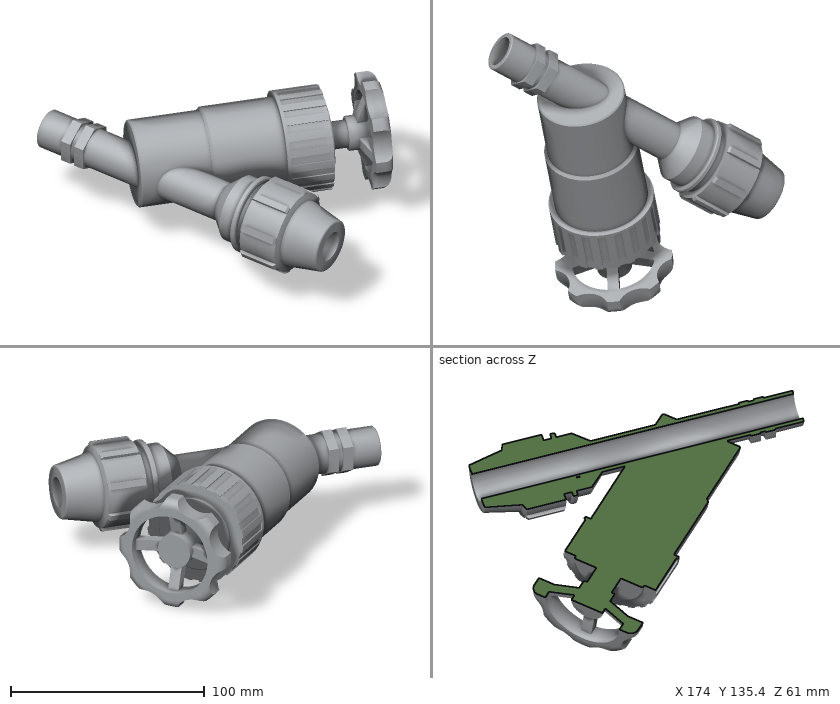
import cadquery as cq
import math

length = 174.0
pipe_dia = 20.9
bore_dia = 16.0
pipe_chamfer = 0.44
hex_flats = 22.3
hex_thickness = 5.4
hex_starts = (15.7, 23.7)

cone_start = 109.1
cone_end = 117.1
collar_dia = 36.0
flange_start = 125.3
flange_width = 2.8
flange_dia = 41.8
flange_chamfer = 0.5
nut_start = 132.0
nut_end = 154.9
nut_dia = 43.5
nut_chamfer = 1.4
nut_rib_count = 8
nut_rib_width = 3.5
nut_rib_radius = 23.5
nut_rib_chamfer = 1.0
nose_start_dia = 36.5
nose_end_dia = 28.2
nose_fillet = 1.0

branch_x = 52.2
branch_angle = 45.0
base_dia = 45.8
base_chamfer = 0.7
barrel_start = 37.4
barrel_dia = 48.9
barrel_chamfer = 1.4
cap_start = 76.5
cap_rim = 1.7
cap_end = 101.3
cap_dia = 55.0
cap_groove_count = 20
cap_groove_width = 4.4
cap_groove_depth = 0.9
plate_dia = 40.2
plate_top = 103.0
plate_chamfer = 0.5
stem_dia = 14.6

hub_dia = 18.3
hub_start = 113.0
hub_top = 127.0
hub_chamfer = 0.5
wheel_start = 122.3
wheel_top = 132.0
wheel_dia = 61.0
wheel_opening_dia = 43.2
wheel_fillet = 4.5
lobe_count = 8
scallop_dia = 23.3
scallop_center_radius = 37.2
spoke_count = 4
spoke_width = 6.0
spoke_overlap = 0.9
spoke_hub_start = 118.1
spoke_height = 5.5


def cylinder(diameter, start, end):
    return cq.Workplane("XY").workplane(offset=start).circle(diameter / 2).extrude(end - start)


def turned_around(solid, count, first_angle=0.0):
    """Copies of a solid evenly spaced about the Z axis."""
    copies = cq.Workplane("XY")
    for i in range(count):
        copies = copies.add(solid.rotate((0, 0, 0), (0, 0, 1), first_angle + i * 360 / count))
    return copies.combine()


def make_pipe():
    pipe = cq.Workplane("YZ").circle(pipe_dia / 2).extrude(cone_end).faces("<X").chamfer(pipe_chamfer)
    hex_corners = hex_flats / math.cos(math.pi / 6)
    for start in hex_starts:
        hexagon = cq.Workplane("YZ", origin=(start, 0, 0)).transformed(rotate=(0, 0, 90))
        pipe = pipe.union(hexagon.polygon(6, hex_corners).extrude(hex_thickness))
    return pipe


def make_union_fitting():
    collar_r = collar_dia / 2
    nut_r = nut_dia / 2
    nose_r = nose_start_dia / 2
    outline = [
        (cone_start, 0),
        (cone_start, pipe_dia / 2),
        (cone_end, collar_r),
        (nut_start, collar_r),
        (nut_start, nut_r),
        (nut_end - nut_chamfer, nut_r),
        (nut_end, nose_r),
        (length, nose_end_dia / 2),
        (length, 0),
    ]
    fitting = cq.Workplane("XY").polyline(outline).close().revolve(360, (0, 0, 0), (1, 0, 0))
    fitting = fitting.faces(">X").edges().fillet(nose_fillet)
    flange = cq.Workplane("YZ", origin=(flange_start, 0, 0)).circle(flange_dia / 2).extrude(flange_width)
    fitting = fitting.union(flange.faces("<X or >X").chamfer(flange_chamfer))

    rib_length = nut_end - nut_chamfer - nut_start
    rib_height = nut_rib_radius - collar_r
    rib = cq.Workplane("XY").box(rib_length, nut_rib_width, rib_height, centered=(False, True, False))
    rib = rib.faces(">Z").edges("<X or >X").chamfer(nut_rib_chamfer)
    rib = rib.translate((nut_start, 0, collar_r))
    for i in range(nut_rib_count):
        fitting = fitting.union(rib.rotate((0, 0, 0), (1, 0, 0), (i + 0.5) * 360 / nut_rib_count))
    return fitting


def make_cap():
    cap_r = cap_dia / 2
    cap = cylinder(cap_dia, cap_start, cap_end)
    groove_start = cap_start + cap_rim
    groove = cq.Workplane("XY", origin=(cap_r, 0, groove_start))
    groove = groove.rect(2 * cap_groove_depth, cap_groove_width).extrude(cap_end - groove_start)
    return cap.cut(turned_around(groove, cap_groove_count))


def make_body():
    base = cylinder(base_dia, 0, cap_start).faces("<Z").chamfer(base_chamfer)
    barrel = cylinder(barrel_dia, barrel_start, cap_start)
    barrel = barrel.faces("<Z").chamfer(barrel_chamfer)
    plate = cylinder(plate_dia, cap_end, plate_top).faces(">Z").chamfer(plate_chamfer)
    stem = cylinder(stem_dia, plate_top, hub_start)
    return base.union(barrel).union(make_cap()).union(plate).union(stem)


def make_handwheel():
    rim = cylinder(wheel_dia, wheel_start, wheel_top).faces(">Z").edges().fillet(wheel_fillet)
    rim = rim.cut(cylinder(wheel_opening_dia, wheel_start, wheel_top))
    scallop = cylinder(scallop_dia, wheel_start, wheel_top).translate((scallop_center_radius, 0, 0))
    rim = rim.cut(turned_around(scallop, lobe_count, 180 / lobe_count))

    hub = cylinder(hub_dia, hub_start, hub_top).faces("<Z").chamfer(hub_chamfer)
    rim_r = wheel_opening_dia / 2
    web = [
        (0, spoke_hub_start),
        (hub_dia / 2, spoke_hub_start),
        (rim_r, wheel_start),
        (rim_r + spoke_overlap, wheel_start),
        (rim_r + spoke_overlap, wheel_start + spoke_height),
        (rim_r, wheel_start + spoke_height),
        (hub_dia / 2, spoke_hub_start + spoke_height),
        (0, spoke_hub_start + spoke_height),
    ]
    spoke = cq.Workplane("XZ").polyline(web).close().extrude(spoke_width / 2, both=True)
    return rim.union(hub).union(turned_around(spoke, spoke_count))


def make_branch():
    upright = make_body().union(make_handwheel())
    lying = upright.rotate((0, 0, 0), (0, 1, 0), 90)
    return lying.rotate((0, 0, 0), (0, 0, 1), branch_angle).translate((branch_x, 0, 0))


bore = cq.Workplane("YZ").circle(bore_dia / 2).extrude(length)
result = make_pipe().union(make_union_fitting()).union(make_branch()).cut(bore)